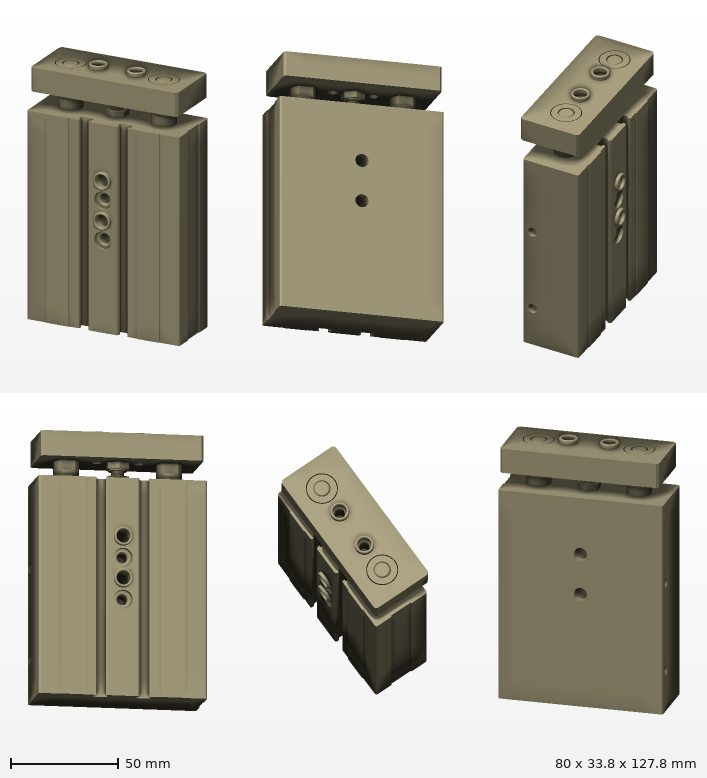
import cadquery as cq
import math

housing_width = 80.0
housing_back = 14.8
housing_front = -14.6
housing_height = 103.9
housing_corner = 1.0
strip_height = 0.4
strip_face = housing_front - strip_height
side_strip_width = 11.5
side_strip_x = 23.6
side_groove_width = 11.5
side_groove_depth = 0.5

slot_x = 10.2
slot_mouth_width = 4.6
slot_mouth_chamfer = 0.8
slot_lip = 1.9
slot_inner_width = 6.6
slot_depth = 4.7
center_strip_width = 2 * slot_x - slot_mouth_width

hole_pitch = 10.0
lowest_hole_z = 46.0
through_hole_diameter = 6.4
blind_hole_diameter = 4.9
blind_hole_depth = 10.2
countersink_diameter = 6.0

side_hole_y = 9.7
side_hole_heights = (20.5, 63.9)
side_hole_diameter = 4.1
side_hole_mouth = 4.9
side_hole_depth = 10.0

drill_point_angle = math.radians(59)

sleeve_outer = 9.0
sleeve_bore = 6.4
sleeve_length = 3.7
housing_sleeve_projection = 1.8
plate_sleeve_projection = 2.3
housing_recess = sleeve_length - housing_sleeve_projection
plate_recess = sleeve_length - plate_sleeve_projection
plate_sleeve_x = 10.0

plate_width = 77.0
plate_back = 17.0
plate_front = -13.8
plate_bottom = 113.5
plate_thickness = 12.0
plate_corner = 1.2
plate_top = plate_bottom + plate_thickness
guide_rod_x = 24.4
guide_rod_diameter = 12.0
rod_flats = 10.0
rod_flat_height = 4.9
piston_rod_diameter = 6.0
hex_flats = 10.0
lower_hex_height = 3.1
nut_height = 3.1
nut_collar_diameter = 8.8
nut_collar_height = 0.8

nut_ring_diameter = 14.0
nut_ring_recess = 15.0
nut_ring_height = 4.1
stud_diameter = 8.0
stud_tip_diameter = 6.4

blind_hole_heights = [lowest_hole_z, lowest_hole_z + 2 * hole_pitch]
sleeve_hole_heights = [z + hole_pitch for z in blind_hole_heights]
sides = (-1, 1)


def block(x_range, y_range, z_range):
    """Box between the given limits."""
    lows, highs = zip(x_range, y_range, z_range)
    size = [high - low for low, high in zip(lows, highs)]
    return cq.Workplane().box(*size, centered=False).translate(lows)


def cylinder(diameter, start, direction, length):
    """Cylinder starting at a point and running along a direction."""
    return cq.Workplane(cq.Solid.makeCylinder(diameter / 2, length, cq.Vector(*start), cq.Vector(*direction)))


def cone(start_diameter, end_diameter, start, direction, length):
    """Cone or truncated cone starting at a point and running along a direction."""
    return cq.Workplane(
        cq.Solid.makeCone(
            start_diameter / 2, end_diameter / 2, length, cq.Vector(*start), cq.Vector(*direction)
        )
    )


def drilled_hole(diameter, mouth_diameter, start, direction, depth):
    """Cutter for a drilled hole with a 45 degree countersink and a conical bottom."""
    point_length = diameter / 2 / math.tan(drill_point_angle)
    bottom = cq.Vector(*start) + cq.Vector(*direction) * depth
    mouth_depth = (mouth_diameter - diameter) / 2
    hole = cylinder(diameter, start, direction, depth)
    hole = hole.union(cone(diameter, 0, bottom.toTuple(), direction, point_length))
    return hole.union(cone(mouth_diameter, diameter, start, direction, mouth_depth))


def t_slot(x):
    """Cutter for one T-slot with a chamfered mouth, running the full housing height."""
    half_mouth = slot_mouth_width / 2
    half_inner = slot_inner_width / 2
    front = strip_face
    half_outline = [
        (half_mouth + slot_mouth_chamfer, front),
        (half_mouth, front + slot_mouth_chamfer),
        (half_mouth, front + slot_lip),
        (half_inner, front + slot_lip),
        (half_inner, front + slot_depth),
    ]
    outline = half_outline + [(-px, py) for px, py in reversed(half_outline)]
    return cq.Workplane().polyline(outline).close().extrude(housing_height).translate((x, 0, 0))


def make_housing():
    """Housing with raised front strips, T-slots, side groove and mounting holes."""
    half_width = housing_width / 2
    full_height = (0, housing_height)
    body = block((-half_width, half_width), (housing_front, housing_back), full_height)
    body = body.edges("|Z").fillet(housing_corner)

    strips = [(0, center_strip_width)] + [(side * side_strip_x, side_strip_width) for side in sides]
    for x, width in strips:
        x_range = (x - width / 2, x + width / 2)
        body = body.union(block(x_range, (strip_face, 0), full_height))
    for side in sides:
        body = body.cut(t_slot(side * slot_x))

    groove_x = (half_width - side_groove_depth, half_width)
    groove_y = (-side_groove_width / 2, side_groove_width / 2)
    body = body.cut(block(groove_x, groove_y, full_height))

    for z in side_hole_heights:
        start = (-half_width, side_hole_y, z)
        body = body.cut(drilled_hole(side_hole_diameter, side_hole_mouth, start, (1, 0, 0), side_hole_depth))

    for z in blind_hole_heights + sleeve_hole_heights:
        body = body.cut(cylinder(sleeve_outer, (0, strip_face, z), (0, 1, 0), housing_recess))
    for z in sleeve_hole_heights:
        length = housing_back - strip_face
        body = body.cut(cylinder(through_hole_diameter, (0, strip_face, z), (0, 1, 0), length))
    for z in blind_hole_heights:
        start = (0, strip_face + housing_recess, z)
        body = body.cut(
            drilled_hole(blind_hole_diameter, countersink_diameter, start, (0, 1, 0), blind_hole_depth)
        )
    return body


def guide_rod(x):
    """Guide rod between housing and plate, with two wrench flats under the plate."""
    length = plate_bottom - housing_height
    rod = cylinder(guide_rod_diameter, (x, 0, housing_height), (0, 0, 1), length)
    radius = guide_rod_diameter / 2
    for side in sides:
        y_range = sorted((side * rod_flats / 2, side * radius))
        z_range = (plate_bottom - rod_flat_height, plate_bottom)
        rod = rod.cut(block((x - radius, x + radius), y_range, z_range))
    return rod


def rod_stud(x):
    """Chamfered upper end of a guide rod, flush with the plate top."""
    chamfer = (stud_diameter - stud_tip_diameter) / 2
    stud = cylinder(stud_diameter, (x, 0, plate_top - nut_ring_height), (0, 0, 1), nut_ring_height)
    return stud.faces(">Z").chamfer(chamfer)


def hexagon(bottom_z, height):
    """Hexagon on the piston rod axis with corners toward +Y and -Y."""
    corner_diameter = hex_flats / math.cos(math.pi / 6)
    prism = cq.Workplane().polygon(6, corner_diameter).extrude(height)
    return prism.rotate((0, 0, 0), (0, 0, 1), 90).translate((0, 0, bottom_z))


def piston_rod():
    """Piston rod with a lower hexagon and a collared nut under the plate."""
    length = plate_bottom - housing_height
    nut_bottom = plate_bottom - nut_height
    collar_bottom = nut_bottom - nut_collar_height
    rod = cylinder(piston_rod_diameter, (0, 0, housing_height), (0, 0, 1), length)
    rod = rod.union(hexagon(housing_height, lower_hex_height))
    rod = rod.union(cylinder(nut_collar_diameter, (0, 0, collar_bottom), (0, 0, 1), nut_collar_height))
    return rod.union(hexagon(nut_bottom, nut_height))


def make_yoke():
    """End plate joined to its guide rods and piston rod, with seats for sleeves and nuts."""
    half_width = plate_width / 2
    plate = block((-half_width, half_width), (plate_front, plate_back), (plate_bottom, plate_top))
    plate = plate.edges("|Z").chamfer(plate_corner)
    down = (0, 0, -1)
    for side in sides:
        nut_center = (side * guide_rod_x, 0, plate_top)
        sleeve_center = (side * plate_sleeve_x, 0, plate_top)
        hole_start = (side * plate_sleeve_x, 0, plate_top - plate_recess)
        hole_depth = plate_thickness - plate_recess
        plate = plate.cut(cylinder(nut_ring_recess, nut_center, down, nut_ring_height))
        plate = plate.cut(cylinder(sleeve_outer, sleeve_center, down, plate_recess))
        plate = plate.cut(drilled_hole(blind_hole_diameter, countersink_diameter, hole_start, down, hole_depth))
    for side in sides:
        plate = plate.union(guide_rod(side * guide_rod_x))
        plate = plate.union(rod_stud(side * guide_rod_x))
    return plate.union(piston_rod())


def sleeve(face_center, outward, projection):
    """Centring sleeve seated in its recess, with a fully rounded outer end."""
    bore_radius = sleeve_bore / 2
    outer_radius = sleeve_outer / 2
    round_radius = (outer_radius - bore_radius) / 2
    seat = projection - sleeve_length
    straight_end = projection - round_radius
    profile = (
        cq.Workplane("XZ")
        .moveTo(bore_radius, seat)
        .lineTo(outer_radius, seat)
        .lineTo(outer_radius, straight_end)
        .threePointArc((bore_radius + round_radius, projection), (bore_radius, straight_end))
        .close()
    )
    ring = profile.revolve(360, (0, 0), (0, 1))
    plane = cq.Plane(origin=face_center, xDir=(1, 0, 0), normal=outward)
    return cq.Workplane(ring.val().moved(cq.Location(plane)))


def guide_rod_nut(x):
    """Round nut around the guide rod end, flush with the plate top and clear of its recess wall."""
    nut = cylinder(nut_ring_diameter, (x, 0, plate_top), (0, 0, -1), nut_ring_height)
    return nut.cut(cylinder(stud_diameter, (x, 0, plate_top), (0, 0, -1), nut_ring_height))


housing = make_housing()
yoke = make_yoke()
housing_sleeves = [
    sleeve((0, strip_face, z), (0, -1, 0), housing_sleeve_projection) for z in sleeve_hole_heights
]
plate_sleeves = [
    sleeve((side * plate_sleeve_x, 0, plate_top), (0, 0, 1), plate_sleeve_projection) for side in sides
]
guide_rod_nuts = [guide_rod_nut(side * guide_rod_x) for side in sides]

bodies = [housing, yoke, *housing_sleeves, *plate_sleeves, *guide_rod_nuts]
result = cq.Compound.makeCompound([body.val() for body in bodies])